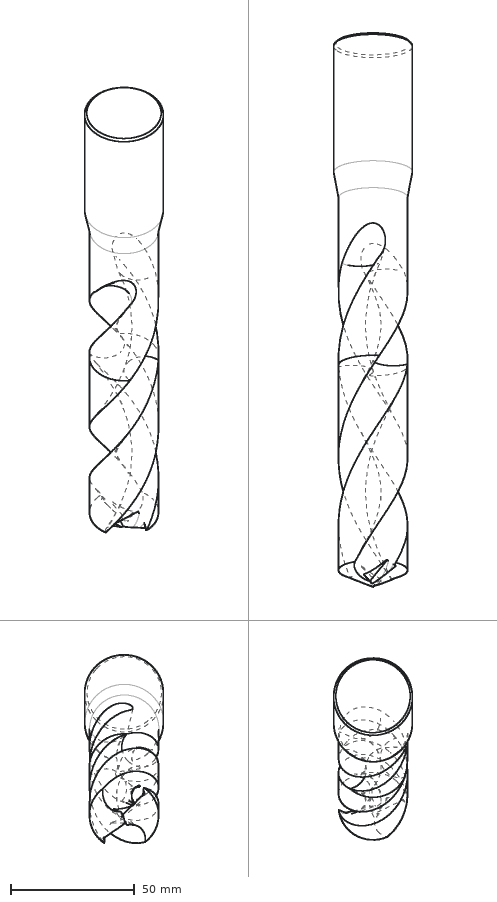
import cadquery as cq
import math

TOTAL_LENGTH = 230.0
SHANK_BOTTOM = 175.7
NECK_BOTTOM = 165.0
JOINT_HEIGHT = 93.8
POINT_HEIGHT = 7.1

SHANK_DIAMETER = 32.0
DRILL_DIAMETER = 28.0
SHANK_RADIUS = SHANK_DIAMETER / 2
DRILL_RADIUS = DRILL_DIAMETER / 2
SHANK_CHAMFER = 1.0

FLUTE_COUNT = 2
FLUTE_LEAD = 140.8
FLUTE_OPENING_ANGLE = 72.0
FLUTE_RADIUS = 8.3
FLUTE_X_HEIGHT = 32.7
FLUTE_TOP = 135.2
FLUTE_CENTER = DRILL_RADIUS * math.cos(math.radians(FLUTE_OPENING_ANGLE / 2))

RUNOUT_HEIGHT = 23.0
RUNOUT_SIDE_SLOPE = 0.7
RUNOUT_OUTWARD_SLOPE = 0.58

GASH_START = cq.Vector(-1.4, -0.5, 2.3)
GASH_RUN = cq.Vector(7.8, -0.5, 8.3)
GASH_FLOOR = cq.Vector(7.4, -5.5, -6.0)
GASH_WALL = cq.Vector(-1.5, -7.5, 3.5)


def flute_angle(height):
    """Direction, in degrees, that the first flute faces at a height."""
    return 360.0 * (height - FLUTE_X_HEIGHT) / FLUTE_LEAD


def make_flute_cutter():
    """Twisted cutter for the first flute, with its straight run-out on top."""
    helix = (
        cq.Workplane("XY")
        .moveTo(FLUTE_CENTER, 0)
        .circle(FLUTE_RADIUS)
        .twistExtrude(FLUTE_TOP, 360.0 * FLUTE_TOP / FLUTE_LEAD)
        .rotate((0, 0, 0), (0, 0, 1), flute_angle(0))
    )
    top_circle = cq.Wire.makeCircle(
        FLUTE_RADIUS, cq.Vector(FLUTE_CENTER, 0, FLUTE_TOP), cq.Vector(0, 0, 1)
    )
    runout_path = cq.Vector(RUNOUT_OUTWARD_SLOPE, RUNOUT_SIDE_SLOPE, 1) * RUNOUT_HEIGHT
    runout = cq.Workplane(cq.Solid.extrudeLinear(top_circle, [], runout_path)).rotate(
        (0, 0, 0), (0, 0, 1), flute_angle(FLUTE_TOP)
    )
    return [helix, runout]


def cut_flutes(body):
    """Cut every flute into a body."""
    for index in range(FLUTE_COUNT):
        turn = 360.0 * index / FLUTE_COUNT
        for cutter in make_flute_cutter():
            body = body.cut(cutter.rotate((0, 0, 0), (0, 0, 1), turn))
    return body


def cut_gashes(body):
    """Cut one web-thinning gash beside the point for every flute."""
    profile = cq.Wire.makePolygon(
        [GASH_START, GASH_START + GASH_FLOOR, GASH_START + GASH_WALL], close=True
    )
    gash = cq.Workplane(cq.Solid.extrudeLinear(profile, [], GASH_RUN))
    for index in range(FLUTE_COUNT):
        turn = 360.0 * index / FLUTE_COUNT
        body = body.cut(gash.rotate((0, 0, 0), (0, 0, 1), turn))
    return body


def make_shank():
    """Plain shank, tapered neck and the upper stretch of the flutes."""
    blank = (
        cq.Workplane("XZ")
        .moveTo(0, JOINT_HEIGHT)
        .lineTo(DRILL_RADIUS, JOINT_HEIGHT)
        .lineTo(DRILL_RADIUS, NECK_BOTTOM)
        .lineTo(SHANK_RADIUS, SHANK_BOTTOM)
        .lineTo(SHANK_RADIUS, TOTAL_LENGTH - SHANK_CHAMFER)
        .lineTo(SHANK_RADIUS - SHANK_CHAMFER, TOTAL_LENGTH)
        .lineTo(0, TOTAL_LENGTH)
        .close()
        .revolve()
    )
    return cut_flutes(blank)


def make_cutting_head():
    """Fluted cutting head with a conical, gashed point."""
    blank = (
        cq.Workplane("XZ")
        .lineTo(DRILL_RADIUS, POINT_HEIGHT)
        .lineTo(DRILL_RADIUS, JOINT_HEIGHT)
        .lineTo(0, JOINT_HEIGHT)
        .close()
        .revolve()
    )
    return cut_gashes(cut_flutes(blank))


shank = make_shank()
cutting_head = make_cutting_head()

result = cq.Compound.makeCompound([*shank.vals(), *cutting_head.vals()])